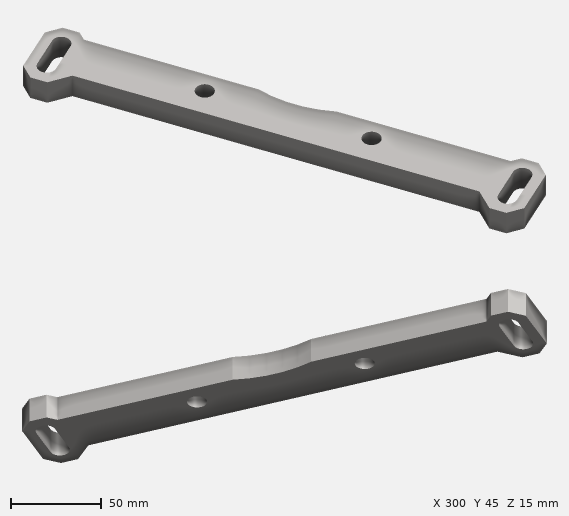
import cadquery as cq

length = 300.0
width = 45.0
thickness = 15.0

bar_top = 18.0
bar_bottom = -12.0

corner_chamfer = 7.5
pad_flat = 10.2

hole_diameter = 11.0
slot_length = 31.5
slot_edge_distance = 12.0
hole_spacing = 100.0
hole_y = 5.0

relief_width = 46.8
relief_depth = 3.5

half_length = length / 2
half_width = width / 2
pad_outer_x = half_length - corner_chamfer
pad_inner_x = pad_outer_x - pad_flat
pad_side_y = half_width - corner_chamfer

top_junction_x = pad_inner_x - (half_width - bar_top)
bottom_junction_x = pad_inner_x - (half_width + bar_bottom)


def make_plate():
    """Bar with a chamfered pad at each end and the relief arc in one edge."""
    right_pad = [
        (bottom_junction_x, bar_bottom),
        (pad_inner_x, -half_width),
        (pad_outer_x, -half_width),
        (half_length, -pad_side_y),
        (half_length, pad_side_y),
        (pad_outer_x, half_width),
        (pad_inner_x, half_width),
        (top_junction_x, bar_top),
    ]
    left_pad = [(-x, y) for x, y in reversed(right_pad)]
    return (
        cq.Workplane("XY")
        .polyline(right_pad)
        .lineTo(relief_width / 2, bar_top)
        .threePointArc((0, bar_top - relief_depth), (-relief_width / 2, bar_top))
        .polyline(left_pad, includeCurrent=True)
        .close()
        .extrude(thickness)
    )


def make_slots():
    """Through slots along Y, one in each end pad."""
    slot_x = half_length - slot_edge_distance
    return (
        cq.Workplane("XY")
        .pushPoints([(-slot_x, 0), (slot_x, 0)])
        .slot2D(slot_length, hole_diameter, angle=90)
        .extrude(thickness)
    )


def make_holes():
    """Two round through holes in the bar."""
    hole_x = hole_spacing / 2
    return (
        cq.Workplane("XY")
        .pushPoints([(-hole_x, hole_y), (hole_x, hole_y)])
        .circle(hole_diameter / 2)
        .extrude(thickness)
    )


result = make_plate().cut(make_slots()).cut(make_holes())